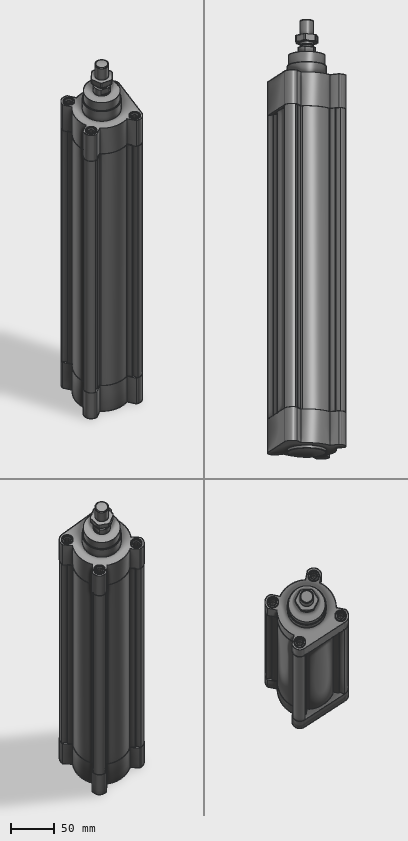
import cadquery as cq
import math

TOTAL_HEIGHT = 513.0
REAR_SPIGOT_HEIGHT = 3.5
CAP_HEIGHT = 40.0
FRONT_CAP_TOP = 444.0
COLLAR_STEP = 459.0
COLLAR_TOP = 471.5
ROD_SHOULDER = 481.0
NUT_BOTTOM = 487.0
NUT_THICKNESS = 7.5

BARREL_BOTTOM = REAR_SPIGOT_HEIGHT + CAP_HEIGHT
BARREL_TOP = FRONT_CAP_TOP - CAP_HEIGHT

HOUSING_WIDTH = 75.0
CAP_BODY_DIAMETER = 69.0
BARREL_BODY_DIAMETER = 68.0
SCREW_OFFSET = 28.0
CAP_LOBE_EDGE = 25.5
BARREL_LOBE_DIAMETER = 20.0
BARREL_LEDGE = (24.0, 32.5)
BARREL_FLANK_TOP = (22.5, 33.0)
BARREL_FLANK_RUN = 4.5
BARREL_FLANK_FOOT = 16.5

HALF_WIDTH = HOUSING_WIDTH / 2
CAP_BODY_RADIUS = CAP_BODY_DIAMETER / 2
BARREL_BODY_RADIUS = BARREL_BODY_DIAMETER / 2
CAP_LOBE_RADIUS = HALF_WIDTH - SCREW_OFFSET
BARREL_LOBE_RADIUS = BARREL_LOBE_DIAMETER / 2

SPIGOT_DIAMETER = 45.0
SPIGOT_CHAMFER = 0.5
COLLAR_DIAMETER = 42.5

SCREW_RECESS_DIAMETER = 13.5
SCREW_HEAD_DIAMETER = 12.0
SCREW_RECESS_DEPTH = 1.5
SCREW_MOUTH_DIAMETER = 8.5
SCREW_MOUTH_DEPTH = 2.0
SCREW_BORE_DIAMETER = 6.5
SCREW_BORE_DEPTH = 15.5
DRILL_POINT_ANGLE = 118.0

ROD_DIAMETER = 20.0
ROD_FLATS_WIDTH = 17.0
ROD_FLATS_BOTTOM = 473.0
THREAD_DIAMETER = 16.0
THREAD_CHAMFER = 1.0
NECK_DIAMETER = 14.0
NECK_TOP = 483.5
NUT_SIDES = 6
NUT_ACROSS_FLATS = 24.0
NUT_CORNER_DIAMETER = 26.5
NUT_BEVEL_ANGLE = 30.0


def cylinder(diameter, bottom, top):
    """Cylinder on the housing axis."""
    return cq.Workplane("XY").workplane(offset=bottom).circle(diameter / 2).extrude(top - bottom)


def lobed_block(body_radius, lobe_radius, flank, bottom, top):
    """Round body with four corner lobes.

    The flank lists the points from the end of the lobe arc down to the round body.
    """
    arc_centre = HALF_WIDTH - lobe_radius
    arc_middle = arc_centre + lobe_radius * math.sqrt(0.5)
    foot_angle = math.atan2(*flank[-1])
    body_x = body_radius * math.sin(foot_angle / 2)
    body_y = body_radius * math.cos(foot_angle / 2)
    mirrored_flank = [(y, x) for x, y in reversed(flank)]
    quadrant = (
        cq.Workplane("XY")
        .workplane(offset=bottom)
        .lineTo(body_radius, 0)
        .threePointArc((body_y, body_x), mirrored_flank[0])
        .polyline(mirrored_flank[1:] + [(HALF_WIDTH, arc_centre)], includeCurrent=True)
        .threePointArc((arc_middle, arc_middle), (arc_centre, HALF_WIDTH))
        .polyline(flank, includeCurrent=True)
        .threePointArc((body_x, body_y), (0, body_radius))
        .close()
        .extrude(top - bottom)
    )
    block = quadrant
    for quarter in range(1, 4):
        block = block.union(quadrant.rotate((0, 0, 0), (0, 0, 1), 90 * quarter))
    return block


def end_cap(bottom):
    """End cap whose +Y side is filled flat between the lobes."""
    gap = HALF_WIDTH - CAP_LOBE_EDGE
    foot = (math.sqrt(2 * CAP_BODY_RADIUS**2 - gap**2) - gap) / 2
    flank = [(CAP_LOBE_EDGE, HALF_WIDTH), (foot, foot + gap)]
    cap = lobed_block(CAP_BODY_RADIUS, CAP_LOBE_RADIUS, flank, bottom, bottom + CAP_HEIGHT)
    flat_side = cq.Workplane("XY").box(
        2 * SCREW_OFFSET, HALF_WIDTH, CAP_HEIGHT, centered=(True, False, False)
    )
    return cap.union(flat_side.translate((0, 0, bottom)))


def barrel():
    """Long profile section whose lobes have a ledge and an undercut 45 degree flank on each side."""
    flank_x, flank_y = BARREL_FLANK_TOP
    flank = [
        BARREL_LEDGE,
        BARREL_FLANK_TOP,
        (flank_x - BARREL_FLANK_RUN, flank_y - BARREL_FLANK_RUN),
        (BARREL_FLANK_FOOT, math.sqrt(BARREL_BODY_RADIUS**2 - BARREL_FLANK_FOOT**2)),
    ]
    return lobed_block(BARREL_BODY_RADIUS, BARREL_LOBE_RADIUS, flank, BARREL_BOTTOM, BARREL_TOP)


def screw_cut():
    """Recess around a screw head and the drilled bore in it, as a revolved cut."""
    bore_radius = SCREW_BORE_DIAMETER / 2
    point_depth = bore_radius / math.tan(math.radians(DRILL_POINT_ANGLE / 2))
    bore = (
        cq.Workplane("XZ")
        .polyline([
            (0, 0),
            (SCREW_MOUTH_DIAMETER / 2, 0),
            (bore_radius, -SCREW_MOUTH_DEPTH),
            (bore_radius, -SCREW_BORE_DEPTH),
            (0, -SCREW_BORE_DEPTH - point_depth),
        ])
        .close()
        .revolve(360, (0, 0, 0), (0, 1, 0))
    )
    ring = (
        cq.Workplane("XY")
        .circle(SCREW_RECESS_DIAMETER / 2)
        .circle(SCREW_HEAD_DIAMETER / 2)
        .extrude(-SCREW_RECESS_DEPTH)
    )
    return bore.union(ring)


def make_housing():
    """Barrel, both end caps, spigots and collar, with screw recesses and the blind rod bore."""
    rear_spigot = cylinder(SPIGOT_DIAMETER, 0, BARREL_BOTTOM).faces("<Z").chamfer(SPIGOT_CHAMFER)
    front_spigot = cylinder(SPIGOT_DIAMETER, BARREL_TOP, COLLAR_STEP).faces(">Z").chamfer(SPIGOT_CHAMFER)
    collar = cylinder(COLLAR_DIAMETER, BARREL_TOP, COLLAR_TOP)
    housing = barrel()
    for piece in (end_cap(REAR_SPIGOT_HEIGHT), end_cap(BARREL_TOP), rear_spigot, front_spigot, collar):
        housing = housing.union(piece)
    cut = screw_cut()
    for x in (-SCREW_OFFSET, SCREW_OFFSET):
        for y in (-SCREW_OFFSET, SCREW_OFFSET):
            housing = housing.cut(cut.translate((x, y, FRONT_CAP_TOP)))
    return housing.cut(cylinder(ROD_DIAMETER, BARREL_TOP, COLLAR_TOP))


def make_rod():
    """Piston rod with wrench flats on its X sides, an undercut neck and a threaded end."""
    shank = cylinder(ROD_DIAMETER, BARREL_TOP, ROD_SHOULDER)
    flats = (
        cq.Workplane("XY")
        .workplane(offset=ROD_FLATS_BOTTOM)
        .rect(2 * ROD_DIAMETER, 2 * ROD_DIAMETER)
        .rect(ROD_FLATS_WIDTH, 2 * ROD_DIAMETER)
        .extrude(ROD_SHOULDER - ROD_FLATS_BOTTOM)
    )
    neck = cylinder(NECK_DIAMETER, ROD_SHOULDER, NECK_TOP)
    thread = cylinder(THREAD_DIAMETER, NECK_TOP, TOTAL_HEIGHT).faces("<Z or >Z").chamfer(THREAD_CHAMFER)
    return shank.cut(flats).union(neck).union(thread)


def make_nut():
    """Hex nut with flats on its X sides, rounded corners and a bevel underneath."""
    hexagon = (
        cq.Workplane("XY")
        .polygon(NUT_SIDES, NUT_ACROSS_FLATS / math.cos(math.pi / NUT_SIDES))
        .extrude(NUT_THICKNESS)
        .rotate((0, 0, 0), (0, 0, 1), 180 / NUT_SIDES)
    )
    bevel_width = (NUT_CORNER_DIAMETER - NUT_ACROSS_FLATS) / 2
    bevel = (
        cq.Workplane("XY")
        .circle(NUT_CORNER_DIAMETER / 2)
        .extrude(NUT_THICKNESS)
        .faces("<Z")
        .chamfer(bevel_width * math.tan(math.radians(NUT_BEVEL_ANGLE)), bevel_width)
    )
    nut = hexagon.intersect(bevel).translate((0, 0, NUT_BOTTOM))
    return nut.cut(cylinder(THREAD_DIAMETER, NUT_BOTTOM, TOTAL_HEIGHT))


housing = make_housing()
rod = make_rod()
nut = make_nut()

result = cq.Compound.makeCompound([housing.val(), rod.val(), nut.val()])